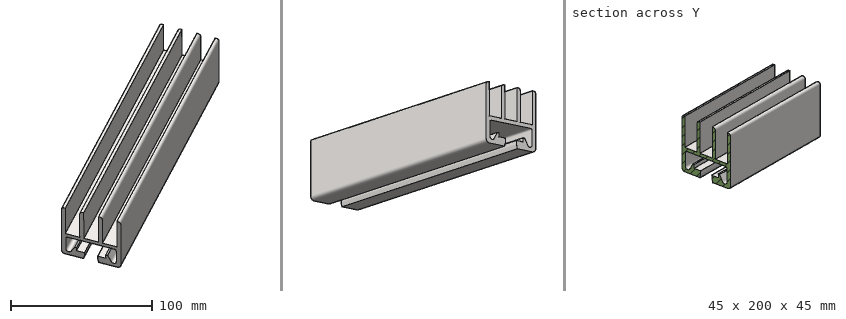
import cadquery as cq
import math

width = 45.0
height = 45.0
length = 200.0
half_width = width / 2

side_wall_thickness = 3.0
inner_fin_outer_side = 8.65
inner_fin_tip_width = 3.0
inner_fin_root_width = 3.25
web_top = 20.0
web_thickness = 3.0
side_wall_tip_radius = 2.0
inner_fin_tip_radius = 2.25

chamber_half_width = 19.0
chamber_corner_radius = 1.5
bottom_corner_radius = 3.0

slot_half_width = 5.0
lip_thickness = 6.0
lip_relief_width = 0.75
lip_relief_height = 3.0
barb_offset = 11.0
barb_top = 9.0
barb_slope = math.radians(30)
groove_radius = 2.0
groove_floor = 3.0


def make_fin(outer_side, tip_width, root_width, tip_radius):
    """Fin on the +X side with an upright outer face, rounded along its outer top edge."""
    arc_inset = tip_radius * (1 - math.sqrt(0.5))
    fin_bottom = web_top - web_thickness / 2
    return (
        cq.Workplane("XZ", origin=(0, length / 2, 0))
        .moveTo(outer_side, fin_bottom)
        .lineTo(outer_side, height - tip_radius)
        .threePointArc(
            (outer_side - arc_inset, height - arc_inset),
            (outer_side - tip_radius, height),
        )
        .lineTo(outer_side - tip_width, height)
        .lineTo(outer_side - root_width, web_top)
        .lineTo(outer_side - root_width, fin_bottom)
        .close()
        .extrude(length)
    )


def make_lower_half():
    """+X half of the slotted channel: half web, side wall and barbed lip."""
    web_bottom = web_top - web_thickness
    groove_x = chamber_half_width - groove_radius
    groove_z = groove_floor + groove_radius

    slope_start_x = groove_x - groove_radius * math.cos(barb_slope)
    slope_start_z = groove_z - groove_radius * math.sin(barb_slope)
    barb_tip_x = slope_start_x - (barb_top - slope_start_z) * math.tan(barb_slope)

    corner_diagonal = 1 - math.sqrt(0.5)
    bottom_inset = bottom_corner_radius * corner_diagonal
    chamber_inset = chamber_corner_radius * corner_diagonal

    return (
        cq.Workplane("XZ", origin=(0, length / 2, 0))
        .moveTo(0, web_top)
        .lineTo(half_width, web_top)
        .lineTo(half_width, bottom_corner_radius)
        .threePointArc(
            (half_width - bottom_inset, bottom_inset),
            (half_width - bottom_corner_radius, 0),
        )
        .lineTo(slot_half_width + lip_relief_width, 0)
        .lineTo(slot_half_width, lip_relief_height)
        .lineTo(slot_half_width, lip_thickness)
        .lineTo(barb_offset, lip_thickness)
        .lineTo(barb_offset, barb_top)
        .lineTo(barb_tip_x, barb_top)
        .lineTo(slope_start_x, slope_start_z)
        .threePointArc((groove_x, groove_floor), (chamber_half_width, groove_z))
        .lineTo(chamber_half_width, web_bottom - chamber_corner_radius)
        .threePointArc(
            (chamber_half_width - chamber_inset, web_bottom - chamber_inset),
            (chamber_half_width - chamber_corner_radius, web_bottom),
        )
        .lineTo(0, web_bottom)
        .close()
        .extrude(length)
    )


inner_fin = make_fin(inner_fin_outer_side, inner_fin_tip_width, inner_fin_root_width, inner_fin_tip_radius)
side_fin = make_fin(half_width, side_wall_thickness, side_wall_thickness, side_wall_tip_radius)
half_profile = make_lower_half().union(inner_fin).union(side_fin)

result = half_profile.union(half_profile.mirror("YZ")).clean()